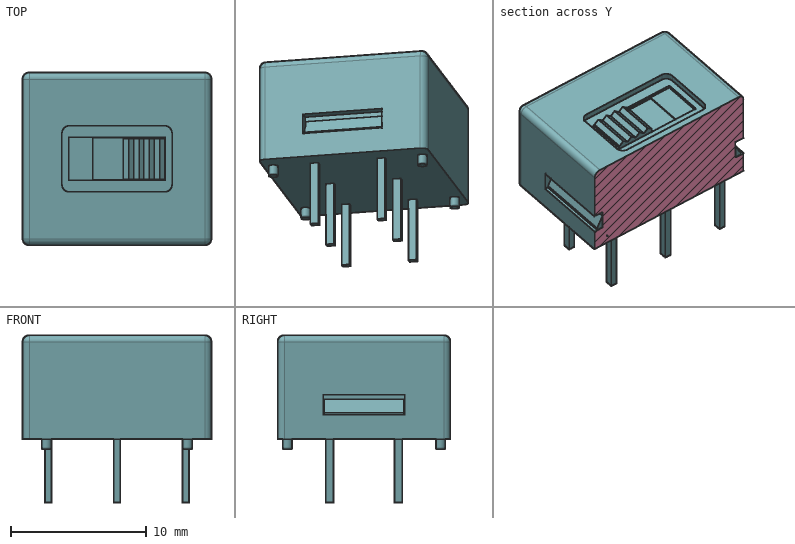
import cadquery as cq

LENGTH = 14.0
WIDTH = 12.8
HEIGHT = 7.7
EDGE_RADIUS = 0.5

RECESS_LENGTH = 8.15
RECESS_WIDTH = 4.9
RECESS_RADIUS = 0.55
RECESS_DEPTH = 0.5
SLOT_LENGTH = 7.15
SLOT_WIDTH = 3.2
SLOT_DEPTH = 0.2
RECESS_FLOOR_Z = HEIGHT - RECESS_DEPTH
SLOT_FLOOR_Z = RECESS_FLOOR_Z - SLOT_DEPTH

PLATE_DROP = 0.05
PLATE_START_X = -1.8
SLIDER_CLEARANCE = 0.05
PLATE_WIDTH = SLOT_WIDTH - 2 * SLIDER_CLEARANCE
PLATE_Z = SLOT_FLOOR_Z - PLATE_DROP
GRIP_WIDTH = 3.0
GRIP_START_X = 0.47
GRIP_END_X = SLOT_LENGTH / 2 - SLIDER_CLEARANCE
RIDGE_COUNT = 4
RIDGE_PITCH = (GRIP_END_X - GRIP_START_X) / RIDGE_COUNT
RIDGE_RISE_LENGTH = 0.4
RIDGE_HEIGHT = 0.31
GRIP_BASE_HEIGHT = 0.4
RIDGE_VALLEY_Z = PLATE_Z + GRIP_BASE_HEIGHT

WINDOW_WIDTH = 6.0
WINDOW_HEIGHT = 1.5
WINDOW_BOTTOM_Z = 1.8
WINDOW_DEPTH = 0.75
CATCH_CLEARANCE = 0.05
CATCH_WIDTH = WINDOW_WIDTH - 2 * CATCH_CLEARANCE
CATCH_SETBACK = 0.25
CATCH_LIP = 0.17
CATCH_HEIGHT = 1.15

PIN_LENGTH = 4.7
PIN_THICKNESS = 0.5
PIN_WIDTH = 0.6
PIN_COLUMN_PITCH = 5.08
PIN_ROW_PITCH = 5.08
PIN_COLUMNS = 3
PIN_ROWS = 2

PEG_DIAMETER = 0.7
PEG_LENGTH = 0.75
PEG_CHAMFER_HEIGHT = 0.1
PEG_CHAMFER_INSET = 0.025
PEG_SPACING_X = 10.45
PEG_SPACING_Y = 11.33
PEG_COLUMNS = 2
PEG_ROWS = 2


def make_housing():
    box = cq.Workplane("XY").box(LENGTH, WIDTH, HEIGHT, centered=(True, True, False))
    return box.edges("|Z or >Z").fillet(EDGE_RADIUS)


def make_recess():
    recess = (
        cq.Workplane("XY")
        .workplane(offset=RECESS_FLOOR_Z)
        .rect(RECESS_LENGTH, RECESS_WIDTH)
        .extrude(RECESS_DEPTH)
        .edges("|Z")
        .fillet(RECESS_RADIUS)
    )
    slot = (
        cq.Workplane("XY")
        .workplane(offset=SLOT_FLOOR_Z)
        .rect(SLOT_LENGTH, SLOT_WIDTH)
        .extrude(SLOT_DEPTH)
    )
    return recess.union(slot)


def make_plate_pocket():
    """Shallow step in the slot floor that lowers the slider plate."""
    pocket_length = SLOT_LENGTH / 2 - PLATE_START_X
    pocket = cq.Workplane("XY").box(
        pocket_length, PLATE_WIDTH, PLATE_DROP, centered=(False, True, False)
    )
    return pocket.translate((PLATE_START_X, 0, PLATE_Z))


def make_grip():
    """Thumb grip with a row of triangular ridges across the slider."""
    profile = cq.Workplane("XZ").moveTo(GRIP_START_X, PLATE_Z).lineTo(GRIP_START_X, RIDGE_VALLEY_Z)
    for ridge in range(RIDGE_COUNT):
        ridge_x = GRIP_START_X + ridge * RIDGE_PITCH
        profile = profile.lineTo(ridge_x + RIDGE_RISE_LENGTH, RIDGE_VALLEY_Z + RIDGE_HEIGHT)
        profile = profile.lineTo(ridge_x + RIDGE_PITCH, RIDGE_VALLEY_Z)
    return profile.lineTo(GRIP_END_X, PLATE_Z).close().extrude(GRIP_WIDTH / 2, both=True)


def make_window():
    """Window pocket in the -X end wall."""
    window = cq.Workplane("XY").box(
        WINDOW_DEPTH, WINDOW_WIDTH, WINDOW_HEIGHT, centered=(False, True, False)
    )
    return window.translate((-LENGTH / 2, 0, WINDOW_BOTTOM_Z))


def make_catch():
    """Catch in the -X window: a short upright lip under a ramp leaning inward."""
    lip_x = -LENGTH / 2 + CATCH_SETBACK
    back_x = -LENGTH / 2 + WINDOW_DEPTH
    return (
        cq.Workplane("XZ")
        .moveTo(lip_x, WINDOW_BOTTOM_Z)
        .lineTo(lip_x, WINDOW_BOTTOM_Z + CATCH_LIP)
        .lineTo(back_x, WINDOW_BOTTOM_Z + CATCH_HEIGHT)
        .lineTo(back_x, WINDOW_BOTTOM_Z)
        .close()
        .extrude(CATCH_WIDTH / 2, both=True)
    )


def make_pins():
    return (
        cq.Workplane("XY")
        .rarray(PIN_COLUMN_PITCH, PIN_ROW_PITCH, PIN_COLUMNS, PIN_ROWS)
        .rect(PIN_THICKNESS, PIN_WIDTH)
        .extrude(-PIN_LENGTH)
    )


def make_pegs():
    return (
        cq.Workplane("XY")
        .rarray(PEG_SPACING_X, PEG_SPACING_Y, PEG_COLUMNS, PEG_ROWS)
        .circle(PEG_DIAMETER / 2)
        .extrude(-PEG_LENGTH)
        .faces("<Z")
        .chamfer(PEG_CHAMFER_HEIGHT, PEG_CHAMFER_INSET)
    )


def on_both_ends(shape):
    """The shape together with its mirror image at the +X end."""
    return shape.union(shape.mirror("YZ"))


housing = make_housing().cut(make_recess()).cut(make_plate_pocket())
housing = housing.cut(on_both_ends(make_window()))
housing = housing.union(make_grip()).union(on_both_ends(make_catch()))
result = housing.union(make_pins()).union(make_pegs())